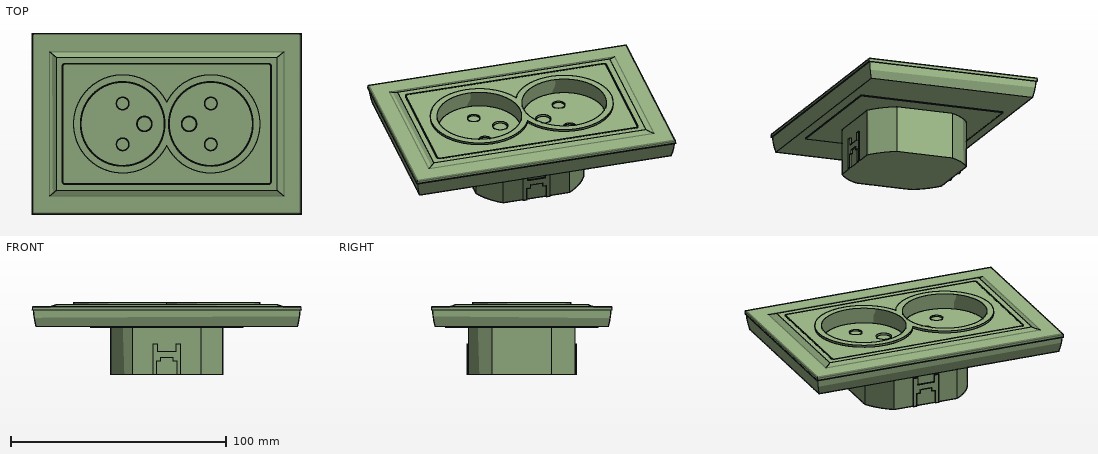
import cadquery as cq
import math

HOUSING_BOTTOM = 0.0
MOUNTING_PLATE_BOTTOM = 21.8
SKIRT_BOTTOM = 22.3
RIM_BOTTOM = 29.9
FRAME_TOP = 31.6
INSERT_TOP = 32.6
COLLAR_TOP = 33.6

FRAME_LENGTH = 125.1
FRAME_WIDTH = 84.1
RIM_LEAN = 0.15
RIM_TOP_ROUND = 0.45
SKIRT_TOP_INSET = 0.5
SKIRT_BOTTOM_INSET = 1.75
SKIRT_BULGE = 0.2

COVE_OUTER_LENGTH = 108.8
COVE_OUTER_WIDTH = 67.0
COVE_RUN_LENGTHWISE = 3.15
COVE_RUN_WIDTHWISE = 2.65
COVE_SAG = 0.12

GROOVE_LENGTH = 97.2
GROOVE_WIDTH = 56.2
GROOVE_CORNER_RADIUS = 1.2
GROOVE_GAP = 0.3
GROOVE_DEPTH = 0.6

SOCKET_OFFSET = 20.5
COLLAR_RADIUS = 22.85
WELL_TOP_RADIUS = 19.7
WELL_BOTTOM_RADIUS = 19.35
WELL_DEPTH = 7.3
PIN_SPACING = 19.0
PIN_RADIUS = 3.0
PIN_FLOOR_RADIUS = 2.8
PIN_RECESS_DEPTH = 0.6
EARTH_PIN_OFFSET = 10.4
EARTH_PIN_RADIUS = 3.6
EARTH_PIN_FLOOR_RADIUS = 3.3
EARTH_PIN_RECESS_DEPTH = 0.8

MOUNTING_PLATE_SIZE = 70.8
HOUSING_DIAMETER = 59.0
HOUSING_LENGTH = 52.1
HOUSING_WIDTH = 49.6

CLIP_THICKNESS = 0.65
CLIP_WIDTH = 13.0
CLIP_HEIGHT = 14.3
CLIP_UPPER_NOTCH_WIDTH = 8.5
CLIP_UPPER_NOTCH_BOTTOM = 10.7
CLIP_OPENING_WIDTH = 9.4
CLIP_OPENING_HEIGHT = 6.3
CLIP_OPENING_NECK_WIDTH = 5.9
CLIP_OPENING_NECK_HEIGHT = 8.0


def box_from(bottom, length, width, height):
    """Box centred on the Z axis, standing on the given height."""
    return cq.Workplane("XY", origin=(0, 0, bottom)).rect(length, width).extrude(height)


def mitre(profile_across_x, profile_across_y):
    """Solid bounded by one profile along each horizontal axis, with mitred corners."""
    along_y = profile_across_x(cq.Workplane("XZ")).extrude(FRAME_LENGTH, both=True)
    along_x = profile_across_y(cq.Workplane("YZ")).extrude(FRAME_LENGTH, both=True)
    return along_y.intersect(along_x)


def bowed_point(start, end, bow):
    """Midpoint of start and end, shifted by bow to the right of the direction of travel."""
    run = end[0] - start[0]
    rise = end[1] - start[1]
    chord = math.hypot(run, rise)
    middle_x = (start[0] + end[0]) / 2 + bow * rise / chord
    middle_z = (start[1] + end[1]) / 2 - bow * run / chord
    return (middle_x, middle_z)


def mirrored(point):
    return (-point[0], point[1])


def trapezoid_with_curved_sides(plane, lower, upper, bow):
    """Symmetric section whose right side runs from lower to upper with the given bow."""
    middle = bowed_point(lower, upper, bow)
    return (
        plane.moveTo(*lower)
        .threePointArc(middle, upper)
        .lineTo(*mirrored(upper))
        .threePointArc(mirrored(middle), mirrored(lower))
        .close()
    )


def make_skirt():
    def section(size):
        lower = (size / 2 - SKIRT_BOTTOM_INSET, SKIRT_BOTTOM)
        upper = (size / 2 - SKIRT_TOP_INSET, RIM_BOTTOM)
        return lambda plane: trapezoid_with_curved_sides(plane, lower, upper, SKIRT_BULGE)

    return mitre(section(FRAME_LENGTH), section(FRAME_WIDTH))


def make_rim():
    height = FRAME_TOP - RIM_BOTTOM
    lean_angle = math.degrees(math.atan2(RIM_LEAN, height))
    rim = (
        cq.Workplane("XY", origin=(0, 0, RIM_BOTTOM))
        .rect(FRAME_LENGTH, FRAME_WIDTH)
        .extrude(height, taper=lean_angle)
    )
    return rim.faces(">Z").edges().fillet(RIM_TOP_ROUND)


def make_raised_panel():
    def section(outer_size, run):
        lower = (outer_size / 2, FRAME_TOP)
        upper = (outer_size / 2 - run, INSERT_TOP)
        return lambda plane: trapezoid_with_curved_sides(plane, lower, upper, -COVE_SAG)

    return mitre(
        section(COVE_OUTER_LENGTH, COVE_RUN_LENGTHWISE),
        section(COVE_OUTER_WIDTH, COVE_RUN_WIDTHWISE),
    )


def make_joint_groove():
    bottom = INSERT_TOP - GROOVE_DEPTH
    outer = box_from(bottom, GROOVE_LENGTH, GROOVE_WIDTH, GROOVE_DEPTH)
    outer = outer.edges("|Z").fillet(GROOVE_CORNER_RADIUS)
    inner = box_from(bottom, GROOVE_LENGTH - 2 * GROOVE_GAP, GROOVE_WIDTH - 2 * GROOVE_GAP, GROOVE_DEPTH)
    inner = inner.edges("|Z").fillet(GROOVE_CORNER_RADIUS - GROOVE_GAP)
    return outer.cut(inner)


def tapered_recess(x, y, top, top_radius, bottom_radius, depth):
    """Round cutter that narrows from top_radius down to bottom_radius."""
    return cq.Workplane(
        cq.Solid.makeCone(top_radius, bottom_radius, depth, cq.Vector(x, y, top), cq.Vector(0, 0, -1))
    )


def make_collar(side):
    return (
        cq.Workplane("XY", origin=(side * SOCKET_OFFSET, 0, FRAME_TOP))
        .circle(COLLAR_RADIUS)
        .extrude(COLLAR_TOP - FRAME_TOP)
    )


def make_socket_cutter(side):
    """Well with two contact recesses and one earth recess towards the part centre."""
    centre_x = side * SOCKET_OFFSET
    floor = COLLAR_TOP - WELL_DEPTH
    cutter = tapered_recess(centre_x, 0, COLLAR_TOP, WELL_TOP_RADIUS, WELL_BOTTOM_RADIUS, WELL_DEPTH)
    for y in (-PIN_SPACING / 2, PIN_SPACING / 2):
        pin = tapered_recess(centre_x, y, floor, PIN_RADIUS, PIN_FLOOR_RADIUS, PIN_RECESS_DEPTH)
        cutter = cutter.union(pin)
    earth = tapered_recess(
        side * EARTH_PIN_OFFSET,
        0,
        floor,
        EARTH_PIN_RADIUS,
        EARTH_PIN_FLOOR_RADIUS,
        EARTH_PIN_RECESS_DEPTH,
    )
    return cutter.union(earth)


def make_housing():
    """Round housing with four flats."""
    height = SKIRT_BOTTOM - HOUSING_BOTTOM
    cylinder = cq.Workplane("XY", origin=(0, 0, HOUSING_BOTTOM)).circle(HOUSING_DIAMETER / 2).extrude(height)
    return cylinder.intersect(box_from(HOUSING_BOTTOM, HOUSING_LENGTH, HOUSING_WIDTH, height))


def make_clips():
    """Pads standing proud of both long flats, with an upper notch and a stepped lower opening."""
    depth = HOUSING_WIDTH + 2 * CLIP_THICKNESS
    pads = box_from(HOUSING_BOTTOM, CLIP_WIDTH, depth, CLIP_HEIGHT)
    notch = box_from(
        CLIP_UPPER_NOTCH_BOTTOM, CLIP_UPPER_NOTCH_WIDTH, depth, CLIP_HEIGHT - CLIP_UPPER_NOTCH_BOTTOM
    )
    opening = box_from(HOUSING_BOTTOM, CLIP_OPENING_WIDTH, depth, CLIP_OPENING_HEIGHT)
    neck = box_from(HOUSING_BOTTOM, CLIP_OPENING_NECK_WIDTH, depth, CLIP_OPENING_NECK_HEIGHT)
    return pads.cut(notch).cut(opening).cut(neck)


mounting_plate = box_from(
    MOUNTING_PLATE_BOTTOM, MOUNTING_PLATE_SIZE, MOUNTING_PLATE_SIZE, SKIRT_BOTTOM - MOUNTING_PLATE_BOTTOM
)

result = make_skirt().union(make_rim()).union(make_raised_panel()).cut(make_joint_groove())
result = result.union(mounting_plate).union(make_housing()).union(make_clips())
for side in (-1, 1):
    result = result.union(make_collar(side))
for side in (-1, 1):
    result = result.cut(make_socket_cutter(side))